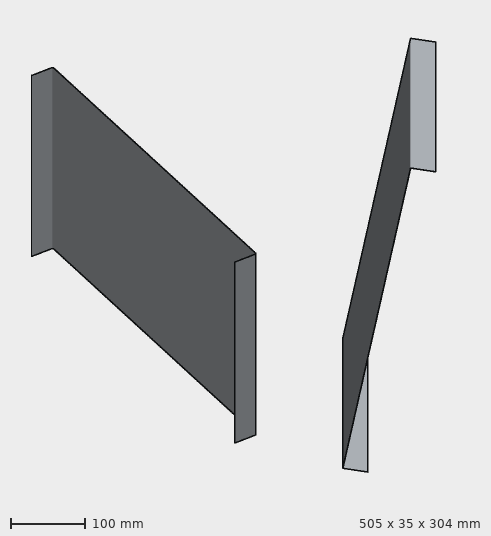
import cadquery as cq

width = 505.0
depth = 35.0
height = 304.0

thickness = 0.75
inner_bend_radius = 1.0
outer_bend_radius = inner_bend_radius + thickness

outer_section = (
    cq.Workplane("XY")
    .rect(width, depth)
    .extrude(height)
    .edges("|Z and >Y")
    .fillet(outer_bend_radius)
)
inner_space = (
    cq.Workplane("XY")
    .center(0, -thickness)
    .rect(width - 2 * thickness, depth)
    .extrude(height)
    .edges("|Z and >Y")
    .fillet(inner_bend_radius)
)

result = outer_section.cut(inner_space)